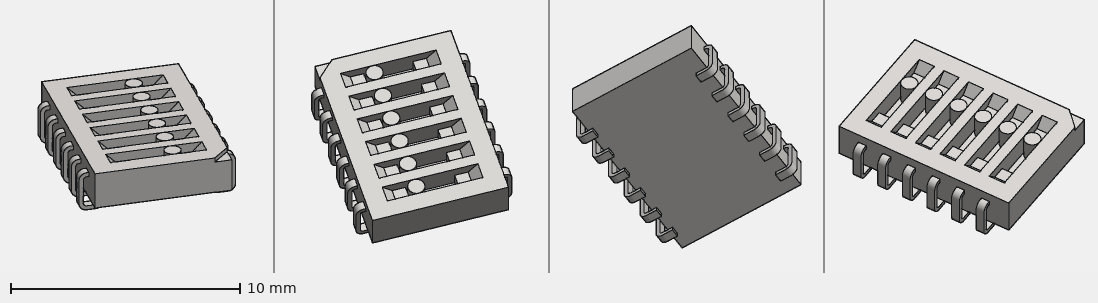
import cadquery as cq

body_length = 8.75
body_width = 6.2
body_height = 1.71
overall_width = 7.1
overall_height = 2.3
body_bottom = overall_height - body_height

mark_leg = 0.78
mark_depth = 0.2

position_count = 6
pitch = 1.27
position_xs = [(i - (position_count - 1) / 2) * pitch for i in range(position_count)]

slot_width = 0.77
slot_length = 4.36
ledge_depth = 0.45
slope_run = 0.45
pocket_length = 2.24
pocket_depth = 1.0

knob_diameter = 0.75
knob_y = (pocket_length - knob_diameter) / 2

lead_width = 0.4
lead_thickness = 0.2
lead_top_depth = 0.455
lead_foot_length = 0.86
bend_outer_radius = 0.35
bend_inner_radius = bend_outer_radius - lead_thickness
lead_embed = 0.09


def make_body():
    block = cq.Workplane("XY", origin=(0, 0, body_bottom)).box(
        body_length, body_width, body_height, centered=(True, True, False)
    )
    corner_x = body_length / 2
    corner_y = body_width / 2
    mark = (
        cq.Workplane("XY", origin=(0, 0, overall_height))
        .moveTo(corner_x, corner_y)
        .lineTo(corner_x - mark_leg, corner_y)
        .lineTo(corner_x, corner_y - mark_leg)
        .close()
        .extrude(-mark_depth)
    )
    return block.cut(mark)


def make_slot(x):
    """Slot profile in the YZ plane, swept across the slot width."""
    half_top = slot_length / 2
    half_ledge = half_top - slope_run
    half_pocket = pocket_length / 2
    ledge_z = overall_height - ledge_depth
    pocket_z = overall_height - pocket_depth
    profile = [
        (-half_top, overall_height),
        (-half_ledge, ledge_z),
        (-half_pocket, ledge_z),
        (-half_pocket, pocket_z),
        (half_pocket, pocket_z),
        (half_pocket, ledge_z),
        (half_ledge, ledge_z),
        (half_top, overall_height),
    ]
    return (
        cq.Workplane("YZ", origin=(x, 0, 0))
        .polyline(profile)
        .close()
        .extrude(slot_width / 2, both=True)
    )


def make_knob(x):
    return (
        cq.Workplane("XY", origin=(x, knob_y, overall_height))
        .circle(knob_diameter / 2)
        .extrude(-pocket_depth)
    )


def make_lead(x):
    """Lead on the -Y side: out of the body, down, and back under it."""
    outer_y = -overall_width / 2
    inner_y = outer_y + lead_thickness
    root_y = -body_width / 2 + lead_embed
    foot_y = outer_y + lead_foot_length
    top_z = overall_height - lead_top_depth
    strip = cq.Workplane("YZ", origin=(x, 0, 0))
    outside = (
        strip.moveTo(outer_y, 0)
        .lineTo(foot_y, 0)
        .lineTo(foot_y, lead_thickness)
        .lineTo(inner_y, lead_thickness)
        .lineTo(inner_y, top_z - lead_thickness)
        .lineTo(root_y, top_z - lead_thickness)
        .lineTo(root_y, top_z)
        .lineTo(outer_y, top_z)
        .close()
        .extrude(lead_width / 2, both=True)
    )
    bent_outside = outside.edges("|X and <Y").fillet(bend_outer_radius)
    inner_corners = cq.selectors.BoxSelector(
        (x - lead_width, inner_y - lead_thickness / 4, lead_thickness / 2),
        (x + lead_width, inner_y + lead_thickness / 4, top_z - lead_thickness / 2),
    )
    return bent_outside.edges("|X").edges(inner_corners).fillet(bend_inner_radius)


result = make_body()
for position_x in position_xs:
    result = result.cut(make_slot(position_x)).union(make_knob(position_x))
    front_lead = make_lead(position_x)
    result = result.union(front_lead).union(front_lead.mirror("XZ"))